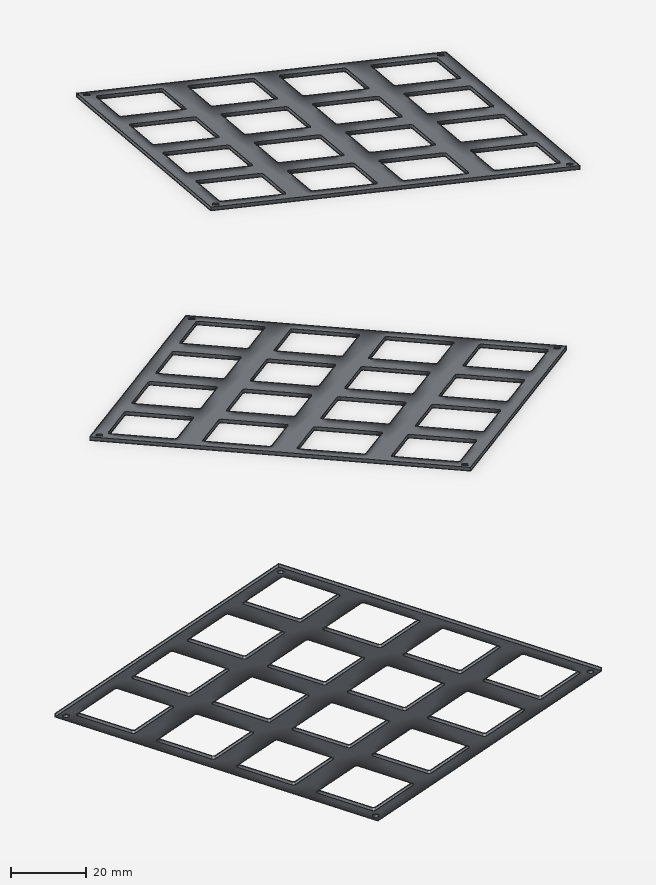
import cadquery as cq

plate_side = 104.4
plate_thickness = 1.0

windows_per_side = 4
window_pitch = 25.9
window_side = 18.9
window_corner_radius = 0.7

hole_diameter = 1.8
hole_edge_distance = 2.1
hole_spacing = plate_side - 2 * hole_edge_distance


def make_plate():
    return cq.Workplane("XY").box(plate_side, plate_side, plate_thickness)


def make_windows():
    """Rounded square cutters, one for each window of the grid."""
    return (
        cq.Workplane("XY")
        .rarray(window_pitch, window_pitch, windows_per_side, windows_per_side)
        .box(window_side, window_side, plate_thickness)
        .edges("|Z")
        .fillet(window_corner_radius)
    )


def make_corner_holes():
    """Through-hole cutters, one near each corner of the plate."""
    return (
        cq.Workplane("XY")
        .rect(hole_spacing, hole_spacing, forConstruction=True)
        .vertices()
        .circle(hole_diameter / 2)
        .extrude(plate_thickness / 2, both=True)
    )


result = make_plate().cut(make_windows()).cut(make_corner_holes())